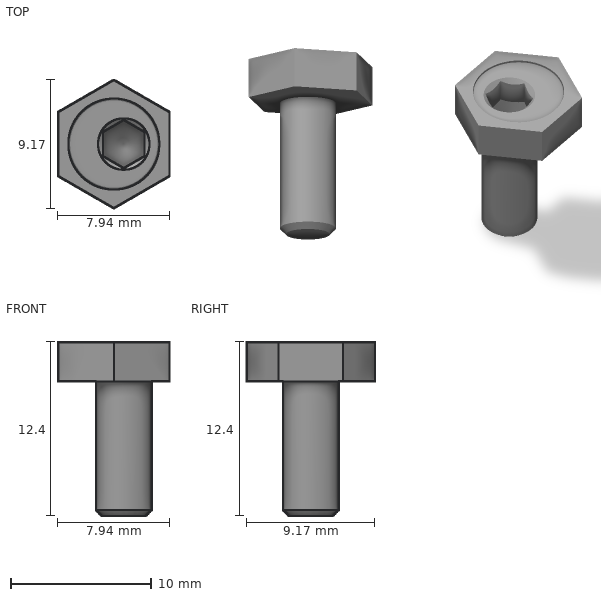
import cadquery as cq
import math

total_height = 12.4
collar_height = 2.8
shank_length = total_height - collar_height

collar_across_flats = 7.94
bore_diameter = 6.5

head_recess = 0.1
head_height = collar_height - head_recess
head_edge_radius = 0.1
eccentricity = 0.71
shank_diameter = 3.99
tip_chamfer = 0.43

socket_across_flats = 2.98
socket_mouth_diameter = 3.67
socket_corner_depth = 1.91
floor_cone_angle = 120.0

hexagon_sides = 6
full_turn = 360.0
half_sector = full_turn / hexagon_sides / 2


def hexagon_prism(across_flats, height):
    """Upright prism on Z = 0 with flats facing +X and -X."""
    across_corners = across_flats / math.cos(math.radians(half_sector))
    return (
        cq.Workplane("XY")
        .polygon(hexagon_sides, across_corners)
        .extrude(height)
        .rotate((0, 0, 0), (0, 0, 1), half_sector)
    )


def make_collar():
    bore = cq.Workplane("XY").circle(bore_diameter / 2).extrude(collar_height)
    return hexagon_prism(collar_across_flats, collar_height).cut(bore)


def make_socket_cutter():
    """Hexagonal recess, centred on Z, for a head whose top is at head_height."""
    corner_radius = socket_across_flats / 2 / math.cos(math.radians(half_sector))
    mouth_radius = socket_mouth_diameter / 2
    corner_z = head_height - socket_corner_depth
    apex_z = corner_z - corner_radius / math.tan(math.radians(floor_cone_angle / 2))

    envelope = (
        cq.Workplane("XZ")
        .moveTo(0, apex_z)
        .lineTo(corner_radius, corner_z)
        .lineTo(corner_radius, head_height)
        .lineTo(0, head_height)
        .close()
        .revolve(full_turn, (0, 0), (0, 1))
    )
    prism = hexagon_prism(socket_across_flats, head_height - apex_z).translate((0, 0, apex_z))

    countersink = (
        cq.Workplane("XZ")
        .moveTo(0, head_height - mouth_radius)
        .lineTo(mouth_radius, head_height)
        .lineTo(0, head_height)
        .close()
        .revolve(full_turn, (0, 0), (0, 1))
    )
    return prism.intersect(envelope).union(countersink)


def make_screw():
    head = (
        cq.Workplane("XY")
        .circle(bore_diameter / 2)
        .extrude(head_height)
        .faces(">Z")
        .fillet(head_edge_radius)
    )
    shank = (
        cq.Workplane("XY")
        .center(eccentricity, 0)
        .circle(shank_diameter / 2)
        .extrude(-shank_length)
        .faces("<Z")
        .chamfer(tip_chamfer)
    )
    socket = make_socket_cutter().translate((eccentricity, 0, 0))
    return head.union(shank).cut(socket)


collar = make_collar()
screw = make_screw()

result = cq.Compound.makeCompound([collar.val(), screw.val()])